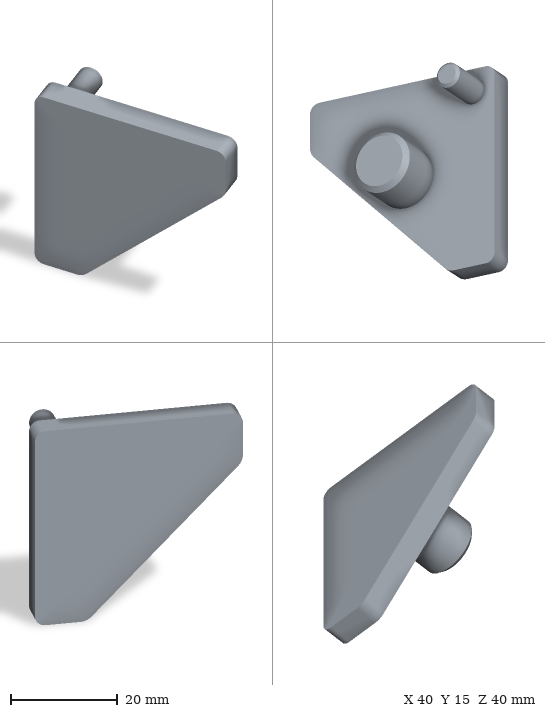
import cadquery as cq

side = 40.0
plate_thickness = 5.0
short_edge = 10.0
square_corner_radius = 2.0
cut_corner_radius = 3.0

pin_length = 10.0
small_pin_diameter = 5.0
small_pin_inset = 4.65
small_pin_chamfer = 0.6
large_pin_diameter = 12.05
large_pin_inset = 19.25
large_pin_chamfer = 1.0


def make_plate():
    outline = [
        (0, 0),
        (short_edge, 0),
        (side, side - short_edge),
        (side, side),
        (0, side),
    ]
    plate = cq.Workplane("XZ").polyline(outline).close().extrude(-plate_thickness)
    margin = 0.4
    cut_corners = cq.selectors.BoxSelector(
        (short_edge - margin, -margin, -margin),
        (side + margin, plate_thickness + margin, side - short_edge + margin),
    )
    plate = plate.edges("|Y").edges(cut_corners).fillet(cut_corner_radius)
    square_corners = "(<X and <Z) or (<X and >Z) or (>X and >Z)"
    return plate.edges("|Y").edges(square_corners).fillet(square_corner_radius)


def make_pin(diameter, inset, chamfer):
    return (
        cq.Workplane("XZ", origin=(0, plate_thickness, 0))
        .center(inset, side - inset)
        .circle(diameter / 2)
        .extrude(-pin_length)
        .faces(">Y")
        .chamfer(chamfer)
    )


small_pin = make_pin(small_pin_diameter, small_pin_inset, small_pin_chamfer)
large_pin = make_pin(large_pin_diameter, large_pin_inset, large_pin_chamfer)
result = make_plate().union(small_pin).union(large_pin)